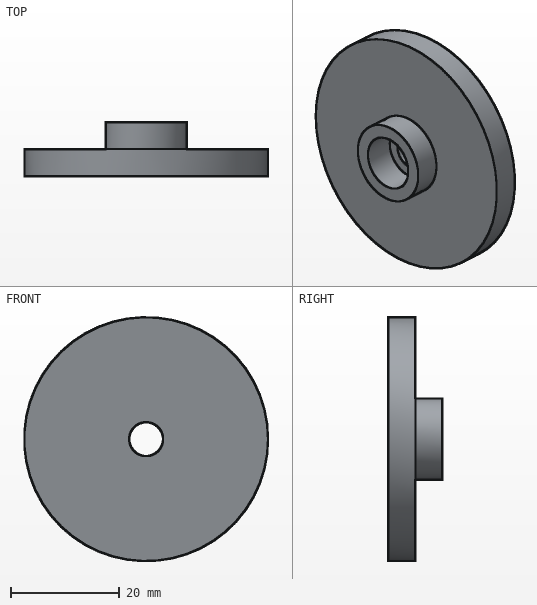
import cadquery as cq

disc_diameter = 45.0
disc_thickness = 5.0
hub_diameter = 15.0
hub_length = 5.0
bore_diameter = 6.2
bore_length = 4.0
counterbore_diameter = 10.0

total_length = disc_thickness + hub_length


def cylinder_along_y(diameter, start, end):
    """Cylinder on the Y axis between two Y positions; the disc's outer face is at Y = 0."""
    length = end - start
    return cq.Workplane("XZ").workplane(offset=-start).circle(diameter / 2).extrude(-length)


disc = cylinder_along_y(disc_diameter, 0, disc_thickness)
hub = cylinder_along_y(hub_diameter, disc_thickness, total_length)

bore = cylinder_along_y(bore_diameter, 0, bore_length)
counterbore = cylinder_along_y(counterbore_diameter, bore_length, total_length)

result = disc.union(hub).cut(bore).cut(counterbore)